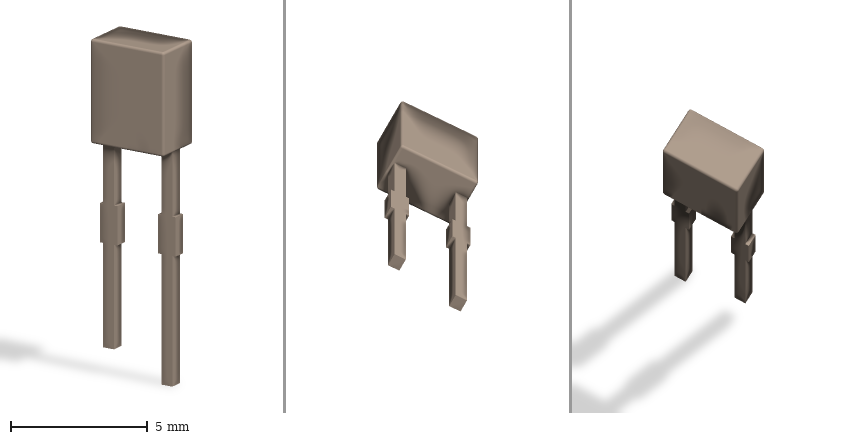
import cadquery as cq

overall_height = 13

body_width = 3.2
body_depth = 1.99
body_height = 4.0
body_edge_radius = 0.1

lead_pitch = 2.54
lead_width = 0.47
lead_depth = 0.51
long_lead_length = overall_height - body_height
lead_length_step = 1.0
short_lead_length = long_lead_length - lead_length_step

stopper_width = 0.75
stopper_height = 1.51
stopper_drop = 2.48


def hanging_block(x, top, width, height):
    """Block of lead thickness, centred on x, reaching down from z = top."""
    return (
        cq.Workplane("XY")
        .box(width, lead_depth, height)
        .translate((x, 0, top - height / 2))
    )


def lead(x, length):
    """One lead with its stopper, starting at the body underside (z = 0)."""
    bar = hanging_block(x, 0, lead_width, length)
    stopper = hanging_block(x, -stopper_drop, stopper_width, stopper_height)
    return bar.union(stopper)


body = (
    cq.Workplane("XY")
    .box(body_width, body_depth, body_height, centered=(True, True, False))
    .edges()
    .fillet(body_edge_radius)
)

short_lead = lead(-lead_pitch / 2, short_lead_length)
long_lead = lead(lead_pitch / 2, long_lead_length)
result = body.union(short_lead).union(long_lead)